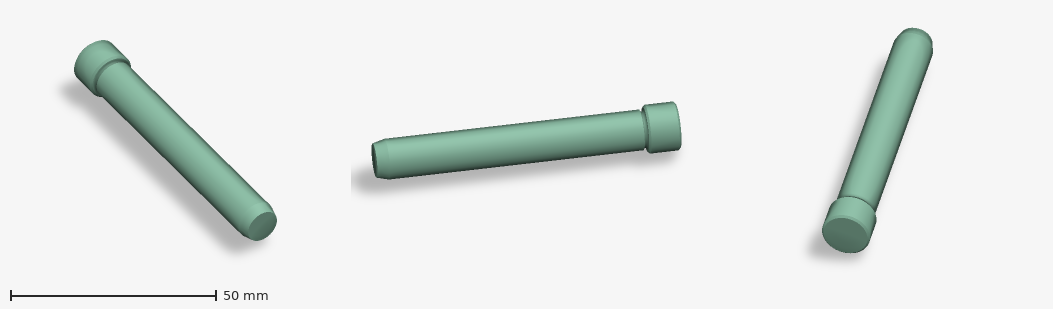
import cadquery as cq
import math

total_length = 75.0
head_diameter = 12.0
head_length = 8.0
head_chamfer = 0.5
shank_diameter = 10.0
groove_width = 1.0
groove_depth = groove_width / 2
tip_length = 3.0
tip_angle = 15.0

head_radius = head_diameter / 2
shank_radius = shank_diameter / 2
tip_radius = shank_radius - tip_length * math.tan(math.radians(tip_angle))
head_start = -total_length / 2
head_end = head_start + head_length
groove_middle = head_end + groove_width / 2
groove_end = head_end + groove_width
pin_end = head_start + total_length
tip_start = pin_end - tip_length


def pin_profile():
    """Half section of the pin above its axis, in the XZ plane."""
    return (
        cq.Workplane("XZ")
        .moveTo(head_start, 0)
        .lineTo(head_start, head_radius - head_chamfer)
        .lineTo(head_start + head_chamfer, head_radius)
        .lineTo(head_end - head_chamfer, head_radius)
        .lineTo(head_end, head_radius - head_chamfer)
        .lineTo(head_end, shank_radius)
        .threePointArc((groove_middle, shank_radius - groove_depth), (groove_end, shank_radius))
        .lineTo(tip_start, shank_radius)
        .lineTo(pin_end, tip_radius)
        .lineTo(pin_end, 0)
        .close()
    )


result = pin_profile().revolve(360, (0, 0, 0), (1, 0, 0))